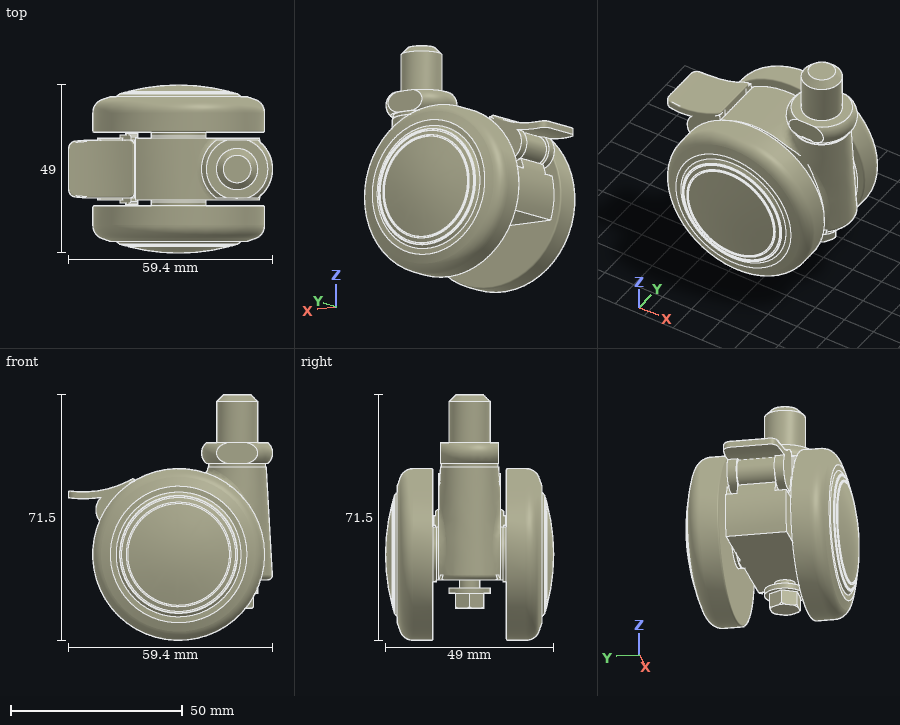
import cadquery as cq
import math


wheel_radius = 25.0
wheel_inner_y = 10.65
tread_end_y = 16.4
rim_face_y = 21.1
rim_shoulder_y = 20.15
rim_shoulder_radius = 22.5
rim_shoulder_bulge = 0.5
rim_face_radius = 19.9
cap_bevel_radius = 18.15
cap_radius = 17.15
cap_edge_y = 21.9
cap_apex_y = 24.49
tread_edge_fillet = 0.5
cap_grooves = [(16.6, 17.0), (14.8, 15.2)]
groove_depth = 0.2
hub_radius = 8.0

drum_radius = 23.6
housing_half_width = 9.0
housing_bottom = -7.45
boss_face_y = 9.65
stem_x = 17.0
post_top = 25.4
post_top_radius = 8.5
post_bottom_radius = 10.4
post_rim_fillet = 1.4
post_blend = 2.5

pocket_back_x = -12.5
pocket_floor = 5.6
pocket_step = 8.6
arm_inner_y = 5.65

stem_top = 46.5
stem_radius = 6.0
stem_chamfer = 2.0
collar_bottom = 26.45
collar_height = 6.1
collar_radius = 10.4
collar_end_radius = 8.95
collar_flats = 16.95
neck_radius = 8.3
bolt_radius = 3.0
washer_radius = 6.0
washer_top = -9.7
washer_bottom = -11.3
bolt_head_bottom = -15.65
bolt_head_flats = 8.3
bolt_head_chamfer = 0.4

lever_half_width = 8.45
plate_tip_x = -32.0
plate_end_x = -12.9
plate_lowest_x = -27.7
plate_top = 18.2
plate_curve_radius = 28.6
plate_thickness = 2.1
plate_tip_half_width = 8.0
plate_full_width_x = -26.8
plate_end_corner = 1.4
plate_tip_corner = 2.3
plate_edge_fillet = 0.4
barrel_x = -18.9
barrel_z = 12.95
arm_radius = 5.2
barrel_radius = barrel_z - pocket_step
relief_radius = 0.65
tab_face_y = 9.95
tab_top = 13.1
tab_bottom = 3.3
tab_front_bottom_x = -17.1
tab_front_top_x = -13.9
tab_back_x = -11.9
tab_chamfer = 0.6
pad_face_y = 10.45
pad_bottom = 8.45
pad_top = 11.3


def cylinder_y(x, z, radius, y_from, y_to):
    """Cylinder parallel to Y between two Y positions."""
    return cq.Workplane("XZ", origin=(x, y_from, z)).circle(radius).extrude(y_from - y_to)


def cylinder_z(radius, z_from, z_to):
    """Cylinder on the stem axis between two heights."""
    return cq.Workplane("XY", origin=(stem_x, 0, z_from)).circle(radius).extrude(z_to - z_from)


def block(x_from, x_to, half_width, z_from, z_to):
    """Box centred on the mid-plane."""
    return (
        cq.Workplane("XY", origin=(0, 0, z_from))
        .center((x_from + x_to) / 2, 0)
        .rect(x_to - x_from, 2 * half_width)
        .extrude(z_to - z_from)
    )


def make_wheel():
    """Wheel on the +Y side, turned about the Y axis."""
    dome_height = cap_apex_y - cap_edge_y
    dome_radius = (cap_radius**2 + dome_height**2) / (2 * dome_height)

    def dome_y(radius):
        return cap_apex_y - dome_radius + math.sqrt(dome_radius**2 - radius**2)

    shoulder_mid = (
        (wheel_radius + rim_shoulder_radius) / 2 + rim_shoulder_bulge,
        (tread_end_y + rim_shoulder_y) / 2 + rim_shoulder_bulge,
    )
    inner_face_zone = cq.selectors.BoxSelector(
        (-wheel_radius, wheel_inner_y - 0.1, -wheel_radius),
        (wheel_radius, wheel_inner_y + 0.1, wheel_radius),
    )
    wheel = (
        cq.Workplane("XY")
        .moveTo(0, boss_face_y)
        .lineTo(hub_radius, boss_face_y)
        .lineTo(hub_radius, wheel_inner_y)
        .lineTo(wheel_radius, wheel_inner_y)
        .lineTo(wheel_radius, tread_end_y)
        .threePointArc(shoulder_mid, (rim_shoulder_radius, rim_shoulder_y))
        .lineTo(rim_face_radius, rim_face_y)
        .lineTo(cap_bevel_radius, rim_face_y)
        .lineTo(cap_radius, cap_edge_y)
        .threePointArc((cap_radius / 2, dome_y(cap_radius / 2)), (0, cap_apex_y))
        .close()
        .revolve(360, (0, 0), (0, 1))
        .edges(inner_face_zone)
        .edges(cq.selectors.RadiusNthSelector(-1))
        .fillet(tread_edge_fillet)
    )
    for inner, outer in cap_grooves:
        floor = dome_y((inner + outer) / 2) - groove_depth
        wheel = wheel.cut(
            cylinder_y(0, 0, outer, floor, cap_apex_y).cut(cylinder_y(0, 0, inner, floor, cap_apex_y))
        )
    return wheel


def make_lever_pocket():
    """Space taken out of the housing for the lever: a deep step at each side, a shallower one between."""
    return block(-wheel_radius, pocket_back_x, housing_half_width, pocket_floor, drum_radius).cut(
        block(-wheel_radius, pocket_back_x, arm_inner_y, pocket_floor, pocket_step)
    )


def make_housing():
    """Drum and tapered post blended together, then trimmed to the housing width."""
    full_width = 4 * post_bottom_radius
    drum = cylinder_y(0, 0, drum_radius, -full_width / 2, full_width / 2).cut(
        block(-drum_radius, drum_radius, full_width / 2, -drum_radius, housing_bottom)
    )
    post = (
        cq.Workplane("XY", origin=(stem_x, 0, housing_bottom))
        .circle(post_bottom_radius)
        .workplane(offset=post_top - housing_bottom)
        .circle(post_top_radius)
        .loft()
    )
    rim_waste = post.cut(post.faces("<Z").edges().fillet(post_rim_fillet)).cut(drum)
    seam = cq.selectors.BoxSelector((stem_x, -0.7, 3.6), (drum_radius - 1.4, 0.7, 17.9))
    body = (
        drum.union(post)
        .edges(seam)
        .fillet(post_blend)
        .cut(rim_waste)
        .intersect(block(-drum_radius, 2 * drum_radius, housing_half_width, housing_bottom, post_top))
    )
    boss = cylinder_y(0, 0, hub_radius, -boss_face_y, boss_face_y).intersect(
        block(-hub_radius, hub_radius, boss_face_y, housing_bottom, hub_radius)
    )
    return body.union(boss).cut(make_lever_pocket()).cut(cylinder_z(bolt_radius, housing_bottom, post_top))


def make_stem():
    """Threaded pin, collar with two flats, and the bolt that runs down through the housing."""
    pin = cylinder_z(stem_radius, collar_bottom, stem_top).faces(">Z").chamfer(stem_chamfer)
    collar = (
        cq.Workplane("XZ", origin=(stem_x, 0, collar_bottom))
        .lineTo(collar_end_radius, 0)
        .threePointArc((collar_radius, collar_height / 2), (collar_end_radius, collar_height))
        .lineTo(0, collar_height)
        .close()
        .revolve(360, (0, 0), (0, 1))
        .intersect(block(0, 2 * stem_x, collar_flats / 2, collar_bottom, stem_top))
    )
    neck = cylinder_z(neck_radius, post_top, collar_bottom)
    shank = cylinder_z(bolt_radius, washer_top, post_top)
    washer = cylinder_z(washer_radius, washer_bottom, washer_top)
    head_across_corners = bolt_head_flats / math.cos(math.pi / 6)
    head = (
        cq.Workplane("XY", origin=(stem_x, 0, bolt_head_bottom))
        .polygon(6, head_across_corners)
        .extrude(washer_bottom - bolt_head_bottom)
        .intersect(
            cylinder_z(head_across_corners / 2, bolt_head_bottom, washer_bottom)
            .faces("<Z")
            .chamfer(bolt_head_chamfer)
        )
    )
    return pin.union(collar).union(neck).union(shank).union(washer).union(head)


def make_plate():
    """Foot plate of the lever, dished along X, with rounded corners and a softened top edge."""
    curve_centre_z = plate_top + plate_curve_radius
    plate_end_span = plate_end_x - plate_lowest_x
    plate_end_top = curve_centre_z - math.sqrt(plate_curve_radius**2 - plate_end_span**2)
    outline = (
        cq.Workplane("XY")
        .moveTo(plate_tip_x, -plate_tip_half_width)
        .lineTo(plate_full_width_x, -lever_half_width)
        .lineTo(plate_end_x, -lever_half_width)
        .lineTo(plate_end_x, lever_half_width)
        .lineTo(plate_full_width_x, lever_half_width)
        .lineTo(plate_tip_x, plate_tip_half_width)
        .close()
        .extrude(plate_end_top)
        .edges("|Z and <X")
        .fillet(plate_tip_corner)
        .edges("|Z and >X")
        .fillet(plate_end_corner)
    )
    top_curve = cylinder_y(
        plate_lowest_x, curve_centre_z, plate_curve_radius, -lever_half_width, lever_half_width
    )
    bottom_curve = cylinder_y(
        plate_lowest_x, curve_centre_z, plate_curve_radius + plate_thickness, -lever_half_width, lever_half_width
    )
    plate = outline.cut(top_curve)
    top_face = cq.selectors.NearestToPointSelector((plate_lowest_x, 0, plate_top))
    return plate.faces(top_face).edges().fillet(plate_edge_fillet).intersect(bottom_curve)


def make_barrel(radius, half_width):
    """Part of the lever below the plate: round in front and filled up to the back of the pocket."""
    return (
        cq.Workplane("XZ", origin=(0, half_width, 0))
        .moveTo(barrel_x, barrel_z - radius)
        .threePointArc((barrel_x - radius, barrel_z), (barrel_x, barrel_z + radius))
        .lineTo(plate_end_x, drum_radius - plate_thickness)
        .lineTo(pocket_back_x, barrel_z + radius)
        .lineTo(pocket_back_x, barrel_z - radius)
        .close()
        .extrude(2 * half_width)
    )


def make_tabs():
    """Side tabs with a slanted front; a thicker pad on each one reaches out towards its wheel."""

    def slanted(half_width):
        return (
            cq.Workplane("XZ", origin=(0, half_width, 0))
            .polyline(
                [
                    (tab_front_bottom_x, tab_bottom),
                    (tab_front_top_x, tab_top),
                    (tab_back_x, tab_top),
                    (tab_back_x, tab_bottom),
                ]
            )
            .close()
            .extrude(2 * half_width)
        )

    plates = slanted(tab_face_y).faces(">Z").edges("|X").chamfer(tab_chamfer)
    pads = slanted(pad_face_y).intersect(block(plate_tip_x, 0, pad_face_y, pad_bottom, pad_top))
    both = plates.union(pads)
    outside = both.cut(block(plate_tip_x, 0, housing_half_width, 0, drum_radius))
    inside = both.intersect(make_lever_pocket())
    return outside.union(inside)


def make_lever():
    """Brake lever: two round-fronted arms, the narrower barrel between them, foot plate and side tabs."""
    arms = make_barrel(arm_radius, lever_half_width).cut(block(plate_tip_x, 0, arm_inner_y, 0, drum_radius))
    relief_z = barrel_z + arm_radius / 2
    relief = cylinder_y(
        barrel_x - arm_radius, relief_z, relief_radius, -lever_half_width, lever_half_width
    )
    return (
        arms.cut(relief)
        .union(make_barrel(barrel_radius, arm_inner_y))
        .union(make_plate())
        .union(make_tabs())
    )


housing = make_housing()
stem = make_stem()
lever = make_lever()
wheel = make_wheel()
wheels = [wheel, wheel.mirror("XZ")]

result = cq.Compound.makeCompound(
    [housing.val(), stem.val(), lever.val(), *[w.val() for w in wheels]]
)